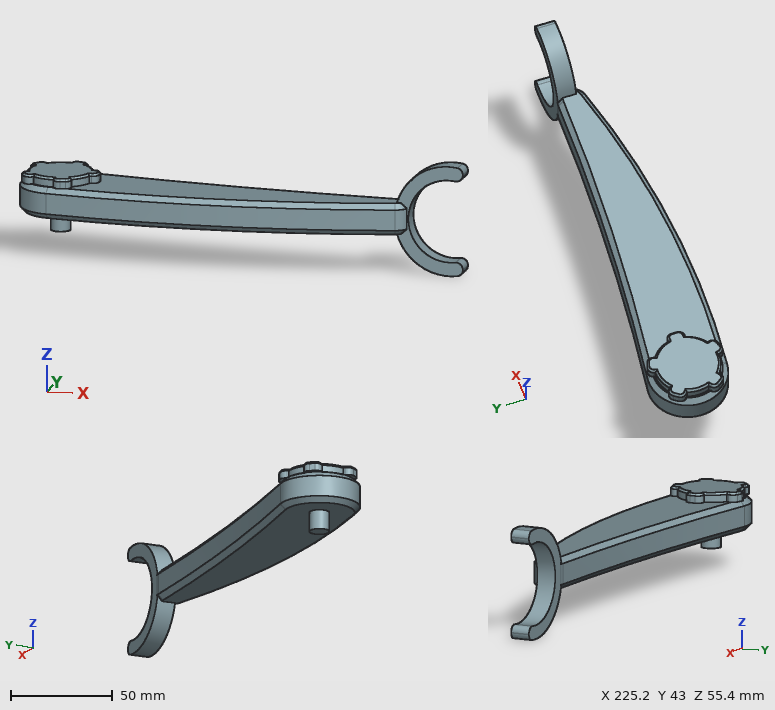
import cadquery as cq
import math

HEAD_RADIUS = 20.0
TAIL_RADIUS = 7.5
TAIL_X = 169.8
BELLY_RADIUS = 463.8
BACK_RADIUS = 1238.3
BODY_HEIGHT = 15.8
BODY_CHAMFER = 2.7

CAP_RADIUS = 16.5
CAP_HEIGHT = 4.7
CAP_CHAMFER = 1.1
LOBE_COUNT = 5
LOBE_TIP_RADIUS = 19.8
LOBE_WIDTH = 9.0
LOBE_CORNER_RADIUS = 3.2

PIN_RADIUS = 5.0
PIN_LENGTH = 9.7

OVERALL_LENGTH = 225.2
FORK_OUTER_RADIUS = 27.7
FORK_THICKNESS = 7.0
FORK_TIP_FILLET = 3.4
FORK_WIDTH = 10.0
FORK_CENTRE_X = 198.1
FORK_CENTRE_Y = 2.3


def side_arc_centre(head_distance, tail_distance):
    """Point on the +Y side at the given distances from the head and tail centres."""
    x = (head_distance**2 - tail_distance**2 + TAIL_X**2) / (2 * TAIL_X)
    return x, math.sqrt(head_distance**2 - x**2)


def point_from(start, towards, distance):
    """Point at a distance from start, on the line that runs towards another point."""
    dx, dy = towards[0] - start[0], towards[1] - start[1]
    scale = distance / math.hypot(dx, dy)
    return start[0] + dx * scale, start[1] + dy * scale


def arm_body():
    head = (0, 0)
    tail = (TAIL_X, 0)
    belly = side_arc_centre(BELLY_RADIUS - HEAD_RADIUS, BELLY_RADIUS - TAIL_RADIUS)
    back = side_arc_centre(BACK_RADIUS + HEAD_RADIUS, BACK_RADIUS + TAIL_RADIUS)
    belly_head = point_from(head, belly, -HEAD_RADIUS)
    belly_tail = point_from(tail, belly, -TAIL_RADIUS)
    belly_middle = (belly[0], belly[1] - BELLY_RADIUS)
    back_head = point_from(head, back, HEAD_RADIUS)
    back_tail = point_from(tail, back, TAIL_RADIUS)
    back_middle = point_from(back, (TAIL_X / 2, 0), BACK_RADIUS)
    return (
        cq.Workplane("XY")
        .workplane(offset=-BODY_HEIGHT / 2)
        .moveTo(*belly_head)
        .threePointArc(belly_middle, belly_tail)
        .threePointArc((TAIL_X + TAIL_RADIUS, 0), back_tail)
        .threePointArc(back_middle, back_head)
        .threePointArc((-HEAD_RADIUS, 0), belly_head)
        .close()
        .extrude(BODY_HEIGHT)
        .faces("<Z or >Z")
        .chamfer(BODY_CHAMFER)
    )


def lobed_cap():
    base = cq.Workplane("XY").workplane(offset=BODY_HEIGHT / 2)
    cap = base.circle(CAP_RADIUS).extrude(CAP_HEIGHT)
    lobe = (
        base.center(LOBE_TIP_RADIUS / 2, 0)
        .rect(LOBE_TIP_RADIUS, LOBE_WIDTH)
        .extrude(CAP_HEIGHT)
        .edges("|Z and >X")
        .fillet(LOBE_CORNER_RADIUS)
    )
    for index in range(LOBE_COUNT):
        cap = cap.union(lobe.rotate((0, 0, 0), (0, 0, 1), index * 360 / LOBE_COUNT))
    return cap.faces(">Z").chamfer(CAP_CHAMFER)


def pin():
    return cq.Workplane("XY").circle(PIN_RADIUS).extrude(-BODY_HEIGHT / 2 - PIN_LENGTH)


def fork():
    tip_x = OVERALL_LENGTH - HEAD_RADIUS
    fork_side = cq.Workplane("XZ", origin=(0, FORK_CENTRE_Y, 0)).center(FORK_CENTRE_X, 0)
    ring = (
        fork_side.circle(FORK_OUTER_RADIUS)
        .circle(FORK_OUTER_RADIUS - FORK_THICKNESS)
        .extrude(FORK_WIDTH / 2, both=True)
    )
    opening = (
        cq.Workplane("YZ", origin=(tip_x, FORK_CENTRE_Y, 0))
        .rect(2 * FORK_WIDTH, 3 * FORK_OUTER_RADIUS)
        .extrude(FORK_OUTER_RADIUS)
    )
    return ring.cut(opening).faces(">X").edges("|Y").fillet(FORK_TIP_FILLET)


result = arm_body().union(lobed_cap()).union(pin()).union(fork())